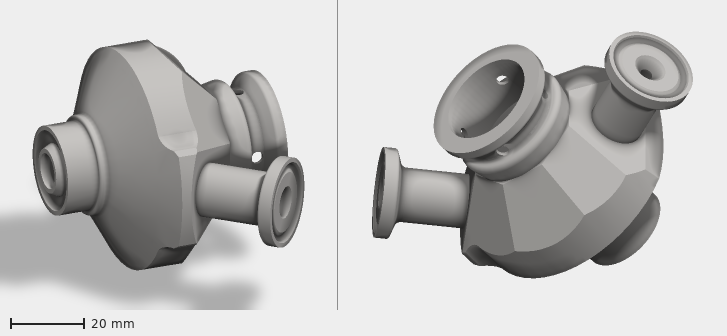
import cadquery as cq
import math


body_radius = 31.0
lobe_radius = 36.0
lobe_half_height = 14.5
lobe_hollow_radius = 8.0
lobe_chamfer_start_x = 31.7
lobe_chamfer_end_x = 33.45
side_flat_distance = 27.7
side_flat_tilt = 4.0
body_back_y = 25.5
cone_half_angle = 60.0
facet_count = 8
facet_tilt = 45.0
facet_distance = 29.4
left_facet_index = 4
left_facet_tilt = 30.0
left_facet_distance = 26.6

ring_radius = 14.0
ring_front_y = -12.1
ring_back_fillet = 1.0
ring_front_fillet = 0.65
spigot_fillet = 0.4
spigot_radius = 12.5
spigot_front_y = -21.1
front_recess_radius = 11.25
front_recess_fillet = 1.13
front_recess_depth = 1.6
nose_base_radius = 7.5
nose_tip_radius = 6.25
nose_tip_y = -22.0
nose_hole_mouth_radius = 5.0
nose_hole_floor_radius = 4.5
nose_hole_depth = 2.5
nose_hole_fillet = 0.6

coupling_back_y = 42.0
coupling_radius = 18.0
coupling_rim_width = 2.9
coupling_cone_angle = 35.0
coupling_rim_fillet = 1.0
coupling_neck_radius = 14.0
coupling_neck_fillet = 0.6
shoulder_y = 32.5
shoulder_slope_angle = 10.0
shoulder_fillet = 1.5
shoulder_inner_fillet = 1.0
collar_radius = 17.35
collar_end_radius = 16.2
coupling_bore_radius = 13.0
coupling_bore_depth = coupling_back_y - body_back_y
vent_diameter = 3.5
vent_count = 4
vent_y = 34.5

arm_radius = 7.5
arm_flange_radius = 12.5
arm_rim_width = 3.75
arm_cone_angle = 20.0
arm_rim_fillet = 0.8
arm_neck_fillet = 2.0
arm_face_recess = 0.5
arm_face_radius = 8.4
arm_groove_inner_radius = 9.3
arm_groove_inner_depth = 1.1
arm_groove_middle_radius = 10.115
arm_groove_depth = 1.4
arm_groove_outer_radius = 10.9
arm_groove_outer_depth = 0.6
arm_groove_mouth_radius = 11.25
arm_hole_diameter = 3.5
arm_countersink_diameter = 9.0
left_arm_length = 50.5
left_arm_start_x = 0.0
right_arm_length = 42.5
right_arm_start_x = 15.5

CLEARANCE = 100.0


def tan_deg(angle):
    return math.tan(math.radians(angle))


def cone_y(radius):
    """Y at which the front cone of the body has the given radius."""
    return (radius - body_radius) / tan_deg(cone_half_angle)


def revolve_about_y(profile):
    """Revolve a closed (radius, y) outline about the Y axis."""
    return profile.revolve(360, (0, 0, 0), (0, 1, 0))


def direction(azimuth, tilt):
    """Unit vector tilted from the XZ plane toward +Y; azimuth turns from +X toward +Z."""
    flat = math.cos(math.radians(tilt))
    return cq.Vector(
        flat * math.cos(math.radians(azimuth)),
        math.sin(math.radians(tilt)),
        flat * math.sin(math.radians(azimuth)),
    )


def facet_cutter(azimuth, tilt, distance):
    """Block lying outside the plane at the given distance from the origin."""
    normal = direction(azimuth, tilt)
    plane = cq.Plane(origin=(normal * distance).toTuple(), normal=normal.toTuple())
    return cq.Workplane(plane).rect(CLEARANCE, CLEARANCE).extrude(CLEARANCE)


def arc_point(center, radius, angle):
    """Point at an angle in radians on a circle."""
    return (center[0] + radius * math.cos(angle), center[1] + radius * math.sin(angle))


def make_body():
    """Disc with a side lobe, tapered by a cone in front and by flat facets behind."""
    depth = CLEARANCE
    xz = cq.Workplane("XZ", origin=(0, depth / 2, 0))
    disc = xz.circle(body_radius).extrude(depth)
    hollow_center = (lobe_chamfer_start_x, lobe_half_height + lobe_hollow_radius)
    center_distance = math.hypot(*hollow_center)
    start_offset = math.acos(
        (center_distance**2 + body_radius**2 - lobe_hollow_radius**2)
        / (2 * center_distance * body_radius)
    )
    start_angle = math.atan2(hollow_center[1], hollow_center[0]) - start_offset
    hollow_start = arc_point((0, 0), body_radius, start_angle)
    hollow_start_angle = math.atan2(
        hollow_start[1] - hollow_center[1], hollow_start[0] - hollow_center[0]
    )
    hollow_mid_angle = (hollow_start_angle - math.pi / 2) / 2
    hollow_mid = arc_point(hollow_center, lobe_hollow_radius, hollow_mid_angle)
    hollow_end = (lobe_chamfer_start_x, lobe_half_height)
    rim_start_angle = math.acos(lobe_chamfer_end_x / lobe_radius)
    half_lobe = (
        xz.moveTo(0, 0)
        .lineTo(*hollow_start)
        .threePointArc(hollow_mid, hollow_end)
        .lineTo(*arc_point((0, 0), lobe_radius, rim_start_angle))
        .threePointArc(arc_point((0, 0), lobe_radius, rim_start_angle / 2), (lobe_radius, 0))
        .close()
        .extrude(depth)
    )
    lobe = half_lobe.union(half_lobe.mirror("XY"))
    envelope = revolve_about_y(
        cq.Workplane("XY").polyline(
            [
                (0, cone_y(ring_radius)),
                (ring_radius, cone_y(ring_radius)),
                (lobe_radius, cone_y(lobe_radius)),
                (lobe_radius, body_back_y),
                (0, body_back_y),
            ]
        ).close()
    )
    body = disc.union(lobe).intersect(envelope)
    for index in range(facet_count):
        azimuth = index * 360 / facet_count
        if index == left_facet_index:
            cutter = facet_cutter(azimuth, left_facet_tilt, left_facet_distance)
        else:
            cutter = facet_cutter(azimuth, facet_tilt, facet_distance)
        body = body.cut(cutter)
    return body.cut(facet_cutter(180, side_flat_tilt, side_flat_distance))


def tangent_fillet_2d(corner, before, after, radius):
    """Start, middle and end points of the arc that rounds an outline corner."""
    corner = cq.Vector(*corner)
    to_before = (cq.Vector(*before) - corner).normalized()
    to_after = (cq.Vector(*after) - corner).normalized()
    half_angle = to_before.getAngle(to_after) / 2
    setback = radius / math.tan(half_angle)
    bisector = (to_before + to_after).normalized()
    mid = corner + bisector * (radius / math.sin(half_angle) - radius)
    points = (corner + to_before * setback, mid, corner + to_after * setback)
    return [(point.x, point.y) for point in points]


def rounded_outline(points):
    """Closed outline from (radius, y, fillet) corners; a fillet of 0 leaves the corner sharp."""
    outline = cq.Workplane("XY").moveTo(*points[0][:2])
    for index in range(1, len(points)):
        r, y, fillet = points[index]
        if fillet == 0:
            outline = outline.lineTo(r, y)
        else:
            before = points[index - 1][:2]
            after = points[index + 1][:2]
            start, mid, end = tangent_fillet_2d((r, y), before, after, fillet)
            outline = outline.lineTo(*start).threePointArc(mid, end)
    return outline.close()


def make_front_end():
    """Ring and spigot, with a recessed face and a conical nose in the middle."""
    recess_floor_y = spigot_front_y + front_recess_depth
    hole_floor_y = nose_tip_y + nose_hole_depth
    ring_back_y = cone_y(ring_radius)
    foot_radius = ring_radius + ring_back_fillet
    return revolve_about_y(
        rounded_outline(
            [
                (0, 0, 0),
                (0, hole_floor_y, 0),
                (nose_hole_floor_radius, hole_floor_y, nose_hole_fillet),
                (nose_hole_mouth_radius, nose_tip_y, 0),
                (nose_tip_radius, nose_tip_y, 0),
                (nose_base_radius, recess_floor_y, 0),
                (front_recess_radius, recess_floor_y, front_recess_fillet),
                (front_recess_radius, spigot_front_y, 0),
                (spigot_radius, spigot_front_y, 0),
                (spigot_radius, ring_front_y, spigot_fillet),
                (ring_radius, ring_front_y, ring_front_fillet),
                (ring_radius, ring_back_y, ring_back_fillet),
                (foot_radius, cone_y(foot_radius), 0),
                (foot_radius, 0, 0),
            ]
        )
    )


def make_back_coupling():
    """Clamp flange, neck and tapered collar."""
    rim_y = coupling_back_y - coupling_rim_width
    shoulder_drop = (collar_radius - coupling_neck_radius) * tan_deg(shoulder_slope_angle)
    cone_drop = (coupling_radius - coupling_neck_radius) * tan_deg(coupling_cone_angle)
    return revolve_about_y(
        rounded_outline(
            [
                (0, 0, 0),
                (0, coupling_back_y, 0),
                (coupling_radius, coupling_back_y, 0),
                (coupling_radius, rim_y, coupling_rim_fillet),
                (coupling_neck_radius, rim_y - cone_drop, coupling_neck_fillet),
                (coupling_neck_radius, shoulder_y, shoulder_inner_fillet),
                (collar_radius, shoulder_y - shoulder_drop, shoulder_fillet),
                (collar_end_radius, body_back_y, 0),
                (collar_end_radius, 0, 0),
            ]
        )
    )


def cut_coupling_bore(part):
    """Open the coupling from the back and drill the vents through its neck."""
    bore = (
        cq.Workplane("XZ", origin=(0, coupling_back_y, 0))
        .circle(coupling_bore_radius)
        .extrude(coupling_bore_depth)
    )
    part = part.cut(bore)
    for index in range(vent_count):
        outward = direction(index * 360 / vent_count, 0)
        plane = cq.Plane(origin=(0, vent_y, 0), normal=outward.toTuple())
        part = part.cut(cq.Workplane(plane).circle(vent_diameter / 2).extrude(coupling_radius))
    return part


def make_arm(length):
    """Tube along Y from the origin, ending in a clamp flange with a grooved face."""
    rim_y = length - arm_rim_width
    cone_drop = (arm_flange_radius - arm_radius) * tan_deg(arm_cone_angle)
    arm = revolve_about_y(
        rounded_outline(
            [
                (0, 0, 0),
                (0, length, 0),
                (arm_flange_radius, length, 0),
                (arm_flange_radius, rim_y, arm_rim_fillet),
                (arm_radius, rim_y - cone_drop, arm_neck_fillet),
                (arm_radius, 0, 0),
            ]
        )
    )
    face_y = length - arm_face_recess
    face_cut = (
        cq.Workplane("XY")
        .moveTo(0, length)
        .lineTo(0, face_y)
        .lineTo(arm_face_radius, face_y)
        .lineTo(arm_groove_inner_radius, length - arm_groove_inner_depth)
        .threePointArc(
            (arm_groove_middle_radius, length - arm_groove_depth),
            (arm_groove_outer_radius, length - arm_groove_outer_depth),
        )
        .lineTo(arm_groove_mouth_radius, length)
        .close()
    )
    return arm.cut(revolve_about_y(face_cut))


def make_arm_hole(length, depth):
    """Countersunk blind hole entering the arm's end face."""
    face_y = length - arm_face_recess
    hole_radius = arm_hole_diameter / 2
    countersink_radius = arm_countersink_diameter / 2
    return revolve_about_y(
        cq.Workplane("XY").polyline(
            [
                (0, face_y),
                (countersink_radius, face_y),
                (hole_radius, face_y - countersink_radius + hole_radius),
                (hole_radius, face_y - depth),
                (0, face_y - depth),
            ]
        ).close()
    )


def place_arm(shape, start_x, turn):
    """Turn a Y-directed shape about Z and move it to its start on the X axis."""
    return shape.rotate((0, 0, 0), (0, 0, 1), turn).translate((start_x, 0, 0))


left_hole_depth = left_arm_length - left_facet_distance
right_start_offset = right_arm_start_x * math.sin(math.radians(facet_tilt))
right_hole_depth = right_arm_length + right_start_offset - facet_distance
arms = [
    (left_arm_length, left_arm_start_x, 90 - left_facet_tilt, left_hole_depth),
    (right_arm_length, right_arm_start_x, facet_tilt - 90, right_hole_depth),
]

result = make_body().union(make_front_end()).union(make_back_coupling())
result = cut_coupling_bore(result)
for arm_length, start_x, turn, hole_depth in arms:
    result = result.union(place_arm(make_arm(arm_length), start_x, turn))
    result = result.cut(place_arm(make_arm_hole(arm_length, hole_depth), start_x, turn))